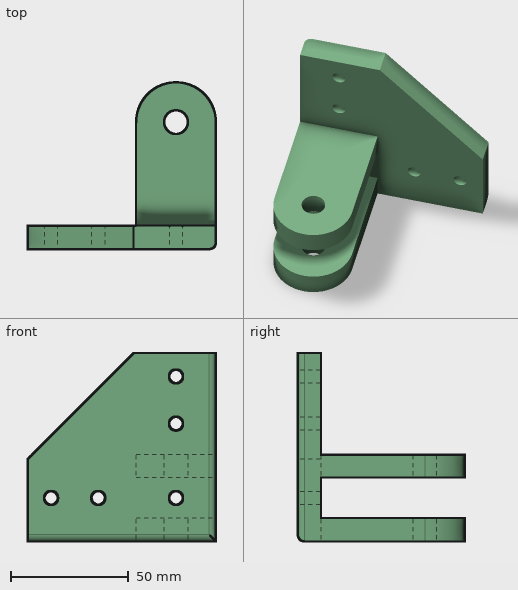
import cadquery as cq

plate_width = 80.0
plate_height = 80.1
plate_thickness = 10.0
corner_cut = 45.1
edge_radius = 3.0

overall_depth = 71.0
lug_width = 34.0
lug_radius = lug_width / 2
lug_hole_diameter = 10.0
lug_axis_x = plate_width - lug_radius
lug_axis_y = overall_depth - lug_radius
lower_lug_thickness = 10.0
upper_lug_thickness = 9.8
upper_lug_bottom = 27.15

screw_hole_diameter = 5.6
screw_hole_chamfer = 0.25
corner_hole_height = 18.5
end_hole_inset = 10.0
hole_pitch = 20.0
end_hole_height = plate_height - end_hole_inset
screw_hole_centres = [
    (lug_axis_x, corner_hole_height),
    (end_hole_inset, corner_hole_height),
    (end_hole_inset + hole_pitch, corner_hole_height),
    (lug_axis_x, end_hole_height),
    (lug_axis_x, end_hole_height - hole_pitch),
]


def make_plate():
    """Plate with its upper left corner cut off and two front edges rounded."""
    outline = [
        (0, 0),
        (plate_width, 0),
        (plate_width, plate_height),
        (corner_cut, plate_height),
        (0, plate_height - corner_cut),
    ]
    plate = cq.Workplane("XZ").polyline(outline).close().extrude(-plate_thickness)
    front_edges = plate.faces("<Y").edges("<Z or >X")
    return front_edges.fillet(edge_radius)


def make_lug(bottom, thickness):
    """Arm with a round end and a pin hole through it."""
    left = plate_width - lug_width
    return (
        cq.Workplane("XY", origin=(0, 0, bottom))
        .moveTo(left, plate_thickness)
        .lineTo(plate_width, plate_thickness)
        .lineTo(plate_width, lug_axis_y)
        .threePointArc((lug_axis_x, overall_depth), (left, lug_axis_y))
        .close()
        .moveTo(lug_axis_x, lug_axis_y)
        .circle(lug_hole_diameter / 2)
        .extrude(thickness)
    )


def make_screw_holes():
    """Through-hole cutters, flared at the front face to break the hole rims."""
    cutters = (
        cq.Workplane("XZ")
        .pushPoints(screw_hole_centres)
        .circle(screw_hole_diameter / 2)
        .extrude(-plate_thickness)
    )
    mouth_radius = screw_hole_diameter / 2 + screw_hole_chamfer
    mouths = (
        cq.Workplane("XZ")
        .pushPoints(screw_hole_centres)
        .circle(mouth_radius)
        .extrude(-screw_hole_chamfer, taper=45)
    )
    return cutters.union(mouths)


lower_lug = make_lug(0, lower_lug_thickness)
upper_lug = make_lug(upper_lug_bottom, upper_lug_thickness)
result = make_plate().cut(make_screw_holes()).union(lower_lug).union(upper_lug)